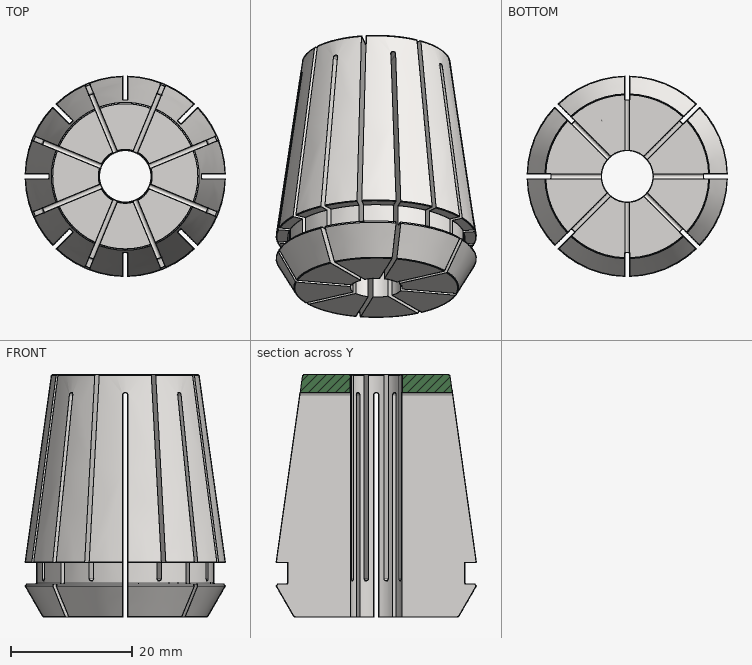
import cadquery as cq
import math


length = 40.0
max_radius = 33.0 / 2
bore_radius = 8.5 / 2

taper_half_angle = 8.0
taper_base_z = 9.1
taper_base_chamfer = 0.1
top_edge_chamfer = 0.2
bore_edge_chamfer = 0.2

groove_radius = 29.2 / 2
groove_floor_z = 5.5
groove_ceiling_z = taper_base_z - taper_base_chamfer
groove_fillet = 0.2
collar_chamfer_height = 0.35
collar_chamfer_width = 0.3

nose_top_z = groove_floor_z - collar_chamfer_height
nose_half_angle = 30.0
nose_edge_chamfer = 0.1

slots_per_end = 8
slot_width = 0.8
slot_pitch = 360.0 / slots_per_end
top_slot_end_z = 6.0
bottom_slot_end_z = length - 3.0


def taper_radius(z):
    return max_radius - (z - taper_base_z) * math.tan(math.radians(taper_half_angle))


def nose_radius(z):
    return max_radius - (nose_top_z - z) * math.tan(math.radians(nose_half_angle))


def make_body():
    """Revolve the half section, with the bore already open."""
    half_section = (
        cq.Workplane("XZ")
        .moveTo(bore_radius, 0)
        .lineTo(nose_radius(0) - nose_edge_chamfer, 0)
        .lineTo(nose_radius(nose_edge_chamfer), nose_edge_chamfer)
        .lineTo(max_radius, nose_top_z)
        .lineTo(max_radius - collar_chamfer_width, groove_floor_z)
        .lineTo(groove_radius + groove_fillet, groove_floor_z)
        .radiusArc((groove_radius, groove_floor_z + groove_fillet), groove_fillet)
        .lineTo(groove_radius, groove_ceiling_z)
        .lineTo(max_radius - taper_base_chamfer, groove_ceiling_z)
        .lineTo(max_radius, taper_base_z)
        .lineTo(taper_radius(length - top_edge_chamfer), length - top_edge_chamfer)
        .lineTo(taper_radius(length) - top_edge_chamfer, length)
        .lineTo(bore_radius + bore_edge_chamfer, length)
        .lineTo(bore_radius, length - bore_edge_chamfer)
        .close()
    )
    return half_section.revolve(360, (0, 0), (0, 1))


def make_slot_cutter(open_z, end_z):
    """Radial blade along +X from the axis, open at open_z and rounded at end_z."""
    half_width = slot_width / 2
    towards_end = math.copysign(1, end_z - open_z)
    shoulder_z = end_z - towards_end * half_width
    outside_z = open_z - towards_end * slot_width
    return (
        cq.Workplane("YZ")
        .moveTo(-half_width, outside_z)
        .lineTo(-half_width, shoulder_z)
        .threePointArc((0, end_z), (half_width, shoulder_z))
        .lineTo(half_width, outside_z)
        .close()
        .extrude(max_radius + slot_width)
    )


def cut_slot_ring(body, cutter, first_angle):
    """Cut one evenly spaced ring of slots, starting at first_angle from +X."""
    for index in range(slots_per_end):
        angle = first_angle + index * slot_pitch
        body = body.cut(cutter.rotate((0, 0, 0), (0, 0, 1), angle))
    return body


collet = make_body()
collet = cut_slot_ring(collet, make_slot_cutter(0, bottom_slot_end_z), 0)
collet = cut_slot_ring(collet, make_slot_cutter(length, top_slot_end_z), slot_pitch / 2)

result = collet